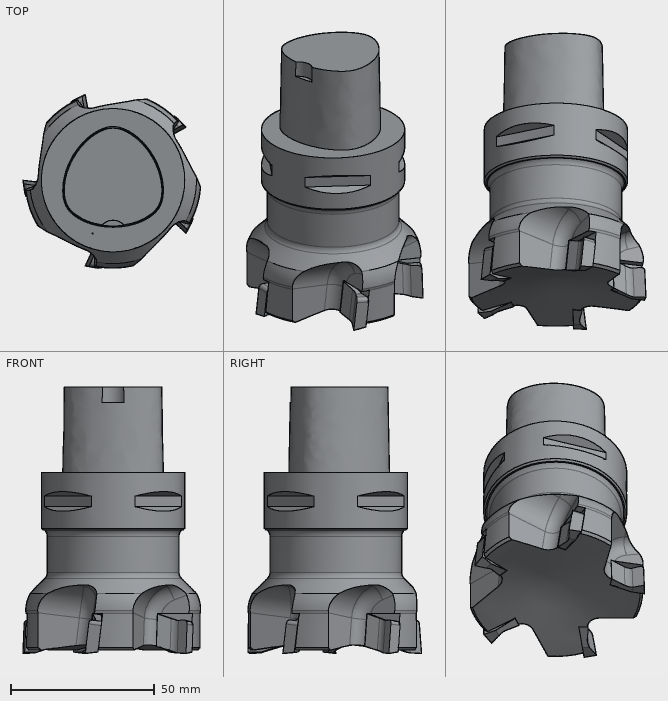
import cadquery as cq
import math

total_height = 93.0
flange_top = 63.2
flange_bottom = 43.1
neck_fillet_height = 2.1
neck_top = flange_bottom - neck_fillet_height
cone_top = 26.2
neck_bottom = cone_top + neck_fillet_height
cone_bottom = 21.0
dome_bottom = 15.0
band_height = 0.9
rim_level = 1.2

flange_radius = 50.0 / 2
flange_chamfer = 0.65
neck_radius = 46.0 / 2
head_radius = 30.7
lower_head_radius = 30.5
rim_chamfer = 0.9
dish_apex_level = 6.2
neck_fillet_angle = math.radians(45)

shank_base_radius = 17.6
shank_top_radius = 17.0
shank_lobe = 1.16
notch_radius = 5.0
notch_depth = 5.5
notch_wall_y = -13.95

groove_count = 4
first_groove_angle = 45.0
groove_level = 53.1
groove_depth = 2.8
groove_floor_height = 3.6
groove_side_angle = math.radians(30)

tooth_count = 5
first_tooth_angle = 180.0
flute_twist = 20.0
axial_rake = 7.0

flute_floor_x = 14.9
flute_wall_y = -9.2
flute_root_radius = 4.6
flute_runout_start = 12.0
flute_runout_radius = 11.9
flute_runout_angle = 69.0
cutter_overrun = 27.9

seat_y = -6.4
seat_inner_x = 18.3
seat_top = 14.0

tip_x = 29.6
tip_y = -10.8
flank_back_x = 30.5
trough_x = 24.55
trough_y = -8.3
trough_radius = 4.2
insert_inner_y = -9.6
wiper_inner_x = 25.8
insert_height = 12.0
insert_end_rise = 2.3
insert_corner_radius = 1.5
insert_clearance = 7.0


def make_turned_body():
    """Flange, neck and cutter head as one revolved solid with a dished end."""
    fillet_radius = neck_fillet_height / math.sin(neck_fillet_angle)
    fillet_width = fillet_radius * (1 - math.cos(neck_fillet_angle))
    mid_angle = neck_fillet_angle / 2
    fillet_mid_width = fillet_radius * (1 - math.cos(mid_angle))
    fillet_mid_height = fillet_radius * math.sin(mid_angle)
    shoulder_radius = neck_radius + fillet_width

    cone_foot_radius = shoulder_radius + cone_top - cone_bottom
    dome_height = cone_bottom - dome_bottom
    dome_width = head_radius - cone_foot_radius
    dome_radius = (dome_height**2 + dome_width**2) / (2 * dome_width)
    dome_mid_angle = math.asin(dome_height / dome_radius) / 2
    dome_mid = (
        head_radius - dome_radius * (1 - math.cos(dome_mid_angle)),
        dome_bottom + dome_radius * math.sin(dome_mid_angle),
    )

    return (
        cq.Workplane("XZ")
        .moveTo(0, flange_top)
        .lineTo(flange_radius, flange_top)
        .lineTo(flange_radius, flange_bottom + flange_chamfer)
        .lineTo(flange_radius - flange_chamfer, flange_bottom)
        .lineTo(shoulder_radius, flange_bottom)
        .threePointArc(
            (neck_radius + fillet_mid_width, neck_top + fillet_mid_height),
            (neck_radius, neck_top),
        )
        .lineTo(neck_radius, neck_bottom)
        .threePointArc(
            (neck_radius + fillet_mid_width, neck_bottom - fillet_mid_height),
            (shoulder_radius, cone_top),
        )
        .lineTo(cone_foot_radius, cone_bottom)
        .threePointArc(dome_mid, (head_radius, dome_bottom))
        .lineTo(lower_head_radius, dome_bottom - band_height)
        .lineTo(lower_head_radius, rim_level + rim_chamfer)
        .lineTo(lower_head_radius - rim_chamfer, rim_level)
        .lineTo(0, dish_apex_level)
        .close()
        .revolve(360, (0, 0, 0), (0, 1, 0))
    )


def shank_curve(mean_radius):
    """Three-lobed curve of constant width with one lobe toward +Y."""

    def point(turn):
        angle = 2 * math.pi * turn
        support = mean_radius + shank_lobe * math.cos(3 * angle)
        support_rate = -3 * shank_lobe * math.sin(3 * angle)
        along = support * math.cos(angle) - support_rate * math.sin(angle)
        across = support * math.sin(angle) + support_rate * math.cos(angle)
        return (-across, along)

    return point


def make_shank():
    """Tapered polygon shank with a locating notch on its flat -Y side."""
    shank = (
        cq.Workplane("XY")
        .workplane(offset=flange_top)
        .parametricCurve(shank_curve(shank_base_radius))
        .workplane(offset=total_height - flange_top)
        .parametricCurve(shank_curve(shank_top_radius))
        .loft(ruled=True)
    )
    notch = (
        cq.Workplane("XY")
        .workplane(offset=total_height - notch_depth)
        .center(0, notch_wall_y - notch_radius)
        .circle(notch_radius)
        .extrude(notch_depth)
    )
    return shank.cut(notch)


def make_groove():
    """Cutter for one flat-floored gripper groove on the +X side of the flange."""
    floor_x = flange_radius - groove_depth
    half_floor = groove_floor_height / 2
    half_mouth = half_floor + 2 * groove_depth * math.tan(groove_side_angle)
    mouth_x = floor_x + 2 * groove_depth
    return (
        cq.Workplane("XZ")
        .polyline(
            [
                (floor_x, groove_level - half_floor),
                (mouth_x, groove_level - half_mouth),
                (mouth_x, groove_level + half_mouth),
                (floor_x, groove_level + half_floor),
            ]
        )
        .close()
        .extrude(flange_radius, both=True)
    )


def lean(shape, pivot_y):
    """Tilt a tooth shape by the axial rake about a line along X at Z = 0."""
    return shape.rotate((0, pivot_y, 0), (1, pivot_y, 0), -axial_rake)


def place_on_tooth(shape, number):
    """Turn a shape from the tooth frame to its place around the tool axis."""
    angle = first_tooth_angle + flute_twist + number * 360 / tooth_count
    return shape.rotate((0, 0, 0), (0, 0, 1), angle)


def make_flute():
    """Cutter for one chip flute: straight up, then curving outward through the head."""
    section_start = -cutter_overrun
    runout_x = flute_floor_x + flute_runout_radius

    def section(plane, depth):
        """Floor and wall with the root fillet between them, down to a given depth."""
        root_offset = flute_root_radius * (1 - math.sqrt(0.5))
        return (
            plane.moveTo(flute_floor_x + depth, flute_wall_y)
            .lineTo(flute_floor_x + flute_root_radius, flute_wall_y)
            .threePointArc(
                (flute_floor_x + root_offset, flute_wall_y - root_offset),
                (flute_floor_x, flute_wall_y - flute_root_radius),
            )
            .lineTo(flute_floor_x, flute_wall_y - cutter_overrun)
            .lineTo(flute_floor_x + depth, flute_wall_y - cutter_overrun)
            .close()
        )

    straight_plane = cq.Workplane("XY").workplane(offset=section_start)
    straight = section(straight_plane, cutter_overrun).extrude(flute_runout_start - section_start)
    runout_plane = cq.Workplane("XY").workplane(offset=flute_runout_start)
    pivot = (runout_x, 0, flute_runout_start)
    pivot_end = (runout_x, 1, flute_runout_start)
    curved = section(runout_plane, flute_runout_radius).revolve(
        flute_runout_angle, (runout_x, 0, 0), (runout_x, 1, 0)
    )
    outward = section(runout_plane, cutter_overrun).extrude(cutter_overrun)
    outward = outward.rotate(pivot, pivot_end, flute_runout_angle)
    return lean(straight.union(curved).union(outward), flute_wall_y)


def make_seat():
    """Cutter for the insert seat: a leaning back wall under a level roof."""
    block = (
        cq.Workplane("XY")
        .workplane(offset=-cutter_overrun)
        .moveTo(seat_inner_x, seat_y)
        .lineTo(seat_inner_x, flute_wall_y)
        .lineTo(seat_inner_x + cutter_overrun, flute_wall_y - cutter_overrun)
        .lineTo(seat_inner_x + cutter_overrun, seat_y)
        .close()
        .extrude(3 * cutter_overrun)
    )
    roof_size = 6 * cutter_overrun
    above_roof = (
        cq.Workplane("XY")
        .workplane(offset=seat_top)
        .rect(roof_size, roof_size)
        .extrude(3 * cutter_overrun)
    )
    return lean(block, tip_y).cut(above_roof)


def make_insert():
    """Cutting insert with a raised, curved rake face and an upright outline."""
    plate = (
        cq.Workplane("XY")
        .workplane(offset=-insert_height)
        .polyline(
            [
                (seat_inner_x, seat_y),
                (flank_back_x, seat_y),
                (tip_x, tip_y),
                (trough_x, trough_y),
                (seat_inner_x, insert_inner_y),
            ]
        )
        .close()
        .extrude(3 * insert_height)
        .edges(cq.NearestToPointSelector((trough_x, trough_y, insert_height / 2)))
        .fillet(trough_radius)
    )
    end_run = wiper_inner_x - seat_inner_x
    outline_inner_x = wiper_inner_x - 2 * end_run
    outline_outer_x = flank_back_x + end_run
    outline = (
        cq.Workplane("XZ", origin=(0, tip_y, 0))
        .polyline(
            [
                (outline_inner_x, 2 * insert_end_rise),
                (wiper_inner_x, 0),
                (outline_outer_x, 0),
                (outline_outer_x, insert_height),
                (wiper_inner_x, insert_height),
                (outline_inner_x, insert_height + 2 * insert_end_rise),
            ]
        )
        .close()
        .extrude(-insert_height, taper=insert_clearance)
    )
    insert = lean(plate, tip_y).intersect(outline)
    flank_middle = ((tip_x + flank_back_x) / 2, (tip_y + seat_y) / 2, insert_height)
    return insert.edges(cq.NearestToPointSelector(flank_middle)).fillet(insert_corner_radius)


holder = make_turned_body().union(make_shank())

for number in range(groove_count):
    groove_angle = first_groove_angle + number * 360 / groove_count
    holder = holder.cut(make_groove().rotate((0, 0, 0), (0, 0, 1), groove_angle))

flute = make_flute()
seat = make_seat()
insert_blank = make_insert()
inserts = []
for number in range(tooth_count):
    insert = place_on_tooth(insert_blank, number)
    holder = holder.cut(place_on_tooth(flute, number)).cut(place_on_tooth(seat, number)).cut(insert)
    inserts.append(insert.val())

result = cq.Compound.makeCompound([holder.val(), *inserts])